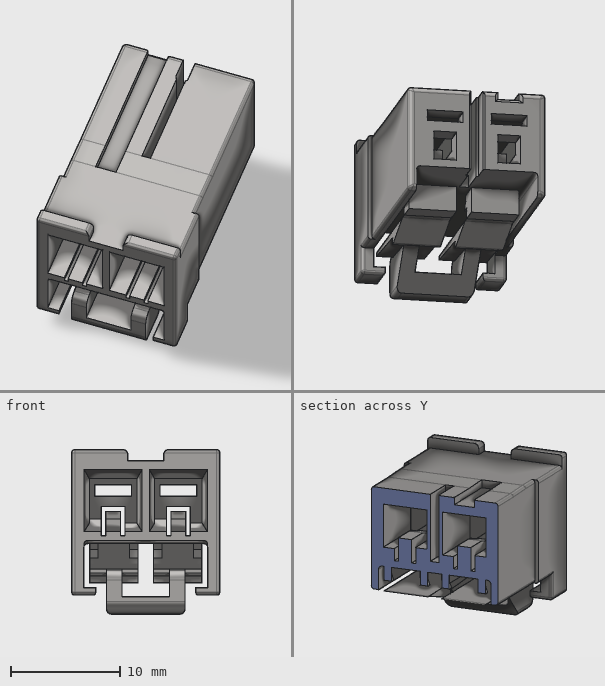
import cadquery as cq
import math

LENGTH = 23.0
HEIGHT = 15.09

HOOD_WIDTH = 13.6
HOOD_BOTTOM = 1.75
FLANGE_DEPTH = 1.22
SKIRT_DEPTH = 3.43
SHOULDER_DEPTH = 6.3
EDGE_RADIUS = 0.3
NOTCH_WIDTH = 3.27
NOTCH_RADIUS = 0.45

BODY_WIDTH = 12.83
BODY_BOTTOM = 4.19
BODY_TOP = 14.08
REAR_TOP = 14.0
TAPER_START = 8.35
TAPER_END = 11.0
REAR_RADIUS = 0.53

GROOVE_CENTER = -3.0
GROOVE_WIDTH = 1.98
GROOVE_DEPTH = 0.75
GROOVE_CHAMFER = 0.3
SLOT_WIDTH = 0.83
SLOT_FLOOR = 7.6
SLOT_THROUGH_START = 16.97
SLOT_MOUTH_WIDTH = 1.15
SLOT_MOUTH_START = 20.5
SLOT_MOUTH_TAPER = 0.23
SLOT_MOUTH_RADIUS = 0.15

CHAMBER_PITCH = 5.98
CHAMBER_WIDTH = 5.34
CHAMBER_FLOOR = 7.57
CHAMBER_TOP = 13.27
CHAMBER_DEPTH = 20.7
FUNNEL_LENGTH = 0.92
INNER_WIDTH = 4.35
INNER_FLOOR = 8.35
INNER_TOP = 12.42
RAISED_FLOOR = 8.72
BLADE_WIDTH = 3.35
BLADE_BOTTOM = 10.83
BLADE_TOP = 11.85

TONGUE_WIDTH = 1.38
TONGUE_STEP_TOP = 8.72
TONGUE_TOP = 9.43
TONGUE_STEP_START = 9.2
TONGUE_CREST_START = 11.95
TONGUE_END = 18.4
CLEARANCE_WIDTH = 2.15
CLEARANCE_BOTTOM = 7.2
CLEARANCE_TOP = 9.87

CHANNEL_WIDTH = 11.32
CHANNEL_TOP = 6.76
CHANNEL_END_TOP = 6.46
CHANNEL_RADIUS = 0.35
LIP_TOP = 2.44
LIP_GAP = 9.15
LIP_RADIUS = 0.25

ARM_WIDTH = 4.45
ARM_CENTER = 2.92
ARM_FRONT = 2.18
ARM_TOP = 4.15
ARM_FRONT_BOTTOM = 3.8
ARM_REAR_BOTTOM = 4.12
HOOK_FACE = 9.38
HOOK_BOTTOM = 2.88
HOOK_LAND = 0.44
HOOK_NECK = 3.5
HOOK_RAMP_END = 13.98
ROOT_FRONT = 14.72
ROOT_REAR = 16.97
ROOT_TOP = 6.9
GUSSET_WIDTH = 0.78
GUSSET_BOTTOM = 5.15
GUSSET_STEP = 5.93
GUSSET_DEPTH = 0.92
GUSSET_STEP_DEPTH = 0.45

HANDLE_WIDTH = 7.22
HANDLE_OPENING = 4.32
HANDLE_FLOOR = 1.6
HANDLE_FRONT = 0.7
HANDLE_TOP = 3.9
HANDLE_TOP_RADIUS = 0.92
HANDLE_NOSE_RADIUS = 1.15
HANDLE_HEEL = 3.63
HANDLE_BACK = 7.7
HANDLE_SIDE_RADIUS = 0.53


def block(x0, x1, y0, y1, z0, z1):
    """Box between opposite corners."""
    return cq.Workplane("XY").box(x1 - x0, y1 - y0, z1 - z0, centered=False).translate((x0, y0, z0))


def centered_block(width, y0, y1, z0, z1, center=0.0):
    """Box of a given width about a plane of constant X."""
    return block(center - width / 2, center + width / 2, y0, y1, z0, z1)


def prism(points, width, center=0.0):
    """Y-Z outline extruded along X about a plane of constant X."""
    outline = cq.Workplane("YZ").polyline(points).close()
    return outline.extrude(width / 2, both=True).translate((center, 0, 0))


def flared_opening(width, depth, inner_z, surface_z, radius):
    """Cutter for an opening along Y whose side walls round outwards into the surface at surface_z."""
    half = width / 2
    outward = math.copysign(1, surface_z - inner_z)
    arc_offset = radius * (1 - math.sqrt(0.5))
    start_z = surface_z - outward * radius
    arc_z = surface_z - outward * arc_offset
    arc_x = half + arc_offset
    outline = (
        cq.Workplane("XZ")
        .moveTo(-half, inner_z)
        .lineTo(half, inner_z)
        .lineTo(half, start_z)
        .threePointArc((arc_x, arc_z), (half + radius, surface_z))
        .lineTo(-half - radius, surface_z)
        .threePointArc((-arc_x, arc_z), (-half, start_z))
        .close()
    )
    return outline.extrude(-depth)


def make_hood():
    """Front flange, shoulder and skirt, with the notch between the two top tabs."""
    flange = centered_block(HOOD_WIDTH, 0, FLANGE_DEPTH, HOOD_BOTTOM, HEIGHT)
    flange = flange.edges("|Y or <Y").fillet(EDGE_RADIUS)
    flange = flange.cut(flared_opening(NOTCH_WIDTH, FLANGE_DEPTH, BODY_TOP, HEIGHT, NOTCH_RADIUS))

    overlap = FLANGE_DEPTH / 2
    shoulder = centered_block(HOOD_WIDTH, overlap, SHOULDER_DEPTH, BODY_BOTTOM, BODY_TOP)
    shoulder = shoulder.edges("|Y").fillet(EDGE_RADIUS)
    skirt = centered_block(HOOD_WIDTH, overlap, SKIRT_DEPTH, HOOD_BOTTOM, CHANNEL_TOP)
    skirt = skirt.edges("(|Y and <Z) or (>Y and |Z) or (>Y and <Z)").fillet(EDGE_RADIUS)
    return flange.union(shoulder).union(skirt)


def make_body():
    """Rear body with a slightly lowered top and rounded outer edges."""
    outline = [
        (SHOULDER_DEPTH / 2, BODY_BOTTOM),
        (LENGTH, BODY_BOTTOM),
        (LENGTH, REAR_TOP),
        (TAPER_END, REAR_TOP),
        (TAPER_START, BODY_TOP),
        (SHOULDER_DEPTH / 2, BODY_TOP),
    ]
    body = prism(outline, BODY_WIDTH)
    body = body.faces(">Y").edges().fillet(REAR_RADIUS)
    long_edges = "(<X or >X) and (not |Z) and (not >Y)"
    return body.edges(long_edges).fillet(EDGE_RADIUS)


def make_groove():
    """Cutter for the key groove in the top, chamfered where it leaves the rear."""
    floor = BODY_TOP - GROOVE_DEPTH
    groove = centered_block(GROOVE_WIDTH, TAPER_START, LENGTH, floor, HEIGHT, GROOVE_CENTER)
    flare_width = GROOVE_WIDTH + 2 * GROOVE_CHAMFER
    flare = (
        cq.Workplane("XZ", origin=(GROOVE_CENTER, LENGTH, (floor - GROOVE_CHAMFER + HEIGHT) / 2))
        .rect(flare_width, HEIGHT - floor + GROOVE_CHAMFER)
        .workplane(offset=GROOVE_CHAMFER)
        .center(0, GROOVE_CHAMFER / 2)
        .rect(GROOVE_WIDTH, HEIGHT - floor)
        .loft()
    )
    return groove.union(flare)


def make_slot():
    """Cutter for the slot between the halves, running right through near the rear."""
    half = SLOT_WIDTH / 2
    half_mouth = SLOT_MOUTH_WIDTH / 2
    mouth_outline = [
        (-half, SLOT_MOUTH_START),
        (half, SLOT_MOUTH_START),
        (half_mouth, SLOT_MOUTH_START + SLOT_MOUTH_TAPER),
        (half_mouth, LENGTH - SLOT_MOUTH_RADIUS),
        (half_mouth + SLOT_MOUTH_RADIUS, LENGTH),
        (-half_mouth - SLOT_MOUTH_RADIUS, LENGTH),
        (-half_mouth, LENGTH - SLOT_MOUTH_RADIUS),
        (-half_mouth, SLOT_MOUTH_START + SLOT_MOUTH_TAPER),
    ]
    shallow = centered_block(SLOT_WIDTH, TAPER_END, LENGTH, SLOT_FLOOR, HEIGHT)
    deep = centered_block(SLOT_WIDTH, SLOT_THROUGH_START, LENGTH, 0, HEIGHT)
    mouth = cq.Workplane("XY").polyline(mouth_outline).close().extrude(HEIGHT)
    return shallow.union(deep).union(mouth)


def make_chamber(center):
    """Cutter for one funnel-shaped chamber, its blade slot and the clearance around its tongue."""
    funnel_start = TAPER_START - FUNNEL_LENGTH
    middle = (CHAMBER_FLOOR + CHAMBER_TOP) / 2
    inner_middle = (INNER_FLOOR + INNER_TOP) / 2
    funnel = (
        cq.Workplane("XZ", origin=(center, funnel_start, middle))
        .rect(CHAMBER_WIDTH, CHAMBER_TOP - CHAMBER_FLOOR)
        .workplane(offset=-FUNNEL_LENGTH)
        .center(0, inner_middle - middle)
        .rect(INNER_WIDTH, INNER_TOP - INNER_FLOOR)
        .loft()
    )
    entry = centered_block(CHAMBER_WIDTH, 0, funnel_start, CHAMBER_FLOOR, CHAMBER_TOP, center)
    inner = centered_block(INNER_WIDTH, TAPER_START, CHAMBER_DEPTH, INNER_FLOOR, INNER_TOP, center)

    floor_slope = (INNER_FLOOR - CHAMBER_FLOOR) / FUNNEL_LENGTH
    raised_start = TAPER_START + (RAISED_FLOOR - INNER_FLOOR) / floor_slope
    raised_floor = prism(
        [
            (TAPER_START, INNER_FLOOR),
            (CHAMBER_DEPTH, INNER_FLOOR),
            (CHAMBER_DEPTH, RAISED_FLOOR),
            (raised_start, RAISED_FLOOR),
        ],
        INNER_WIDTH / 2,
        center - INNER_WIDTH / 4,
    )
    cavity = entry.union(funnel).union(inner).cut(raised_floor)
    blade_slot = centered_block(BLADE_WIDTH, CHAMBER_DEPTH, LENGTH, BLADE_BOTTOM, BLADE_TOP, center)
    clearance = centered_block(CLEARANCE_WIDTH, 0, LENGTH, CLEARANCE_BOTTOM, CLEARANCE_TOP, center)
    tongue = prism(
        [
            (0, CLEARANCE_BOTTOM),
            (TONGUE_END, CLEARANCE_BOTTOM),
            (TONGUE_END, TONGUE_TOP),
            (TONGUE_CREST_START, TONGUE_TOP),
            (TONGUE_STEP_START, TONGUE_STEP_TOP),
            (TONGUE_STEP_START, CHAMBER_FLOOR),
            (0, CHAMBER_FLOOR),
        ],
        TONGUE_WIDTH,
        center,
    )
    return cavity.union(blade_slot).union(clearance).cut(tongue)


def make_channel():
    """Cutter for the full-length channel that holds the latch, leaving the hood lips."""
    outline = [
        (0, 0),
        (0, CHANNEL_TOP),
        (ROOT_FRONT, CHANNEL_END_TOP),
        (LENGTH, CHANNEL_END_TOP),
        (LENGTH, 0),
    ]
    channel = prism(outline, CHANNEL_WIDTH)
    channel = channel.edges("(<X or >X) and (not |Z) and (not <Z)").fillet(CHANNEL_RADIUS)
    for side in (-1, 1):
        lip_width = (CHANNEL_WIDTH - LIP_GAP) / 2
        lip_center = side * (LIP_GAP + lip_width) / 2
        lip = centered_block(lip_width, 0, SKIRT_DEPTH, 0, LIP_TOP, lip_center)
        channel = channel.cut(lip)
    return channel.union(flared_opening(LIP_GAP, SKIRT_DEPTH, LIP_TOP, HOOD_BOTTOM, LIP_RADIUS))


def make_arm(center):
    """One latch arm with its hook, hanging from a root block with two gussets."""
    arm = prism(
        [
            (ARM_FRONT, ARM_TOP),
            (ARM_FRONT, ARM_FRONT_BOTTOM),
            (HOOK_FACE, HOOK_NECK),
            (HOOK_FACE, HOOK_BOTTOM),
            (HOOK_FACE + HOOK_LAND, HOOK_BOTTOM),
            (HOOK_RAMP_END, ARM_REAR_BOTTOM),
            (ROOT_REAR, ARM_REAR_BOTTOM),
            (ROOT_REAR, ROOT_TOP),
            (ROOT_FRONT, ROOT_TOP),
            (ROOT_FRONT, ARM_TOP),
        ],
        ARM_WIDTH,
        center,
    )
    gusset_outline = [
        (ROOT_FRONT, GUSSET_BOTTOM),
        (ROOT_FRONT - GUSSET_DEPTH, GUSSET_BOTTOM),
        (ROOT_FRONT - GUSSET_STEP_DEPTH, GUSSET_STEP),
        (ROOT_FRONT - GUSSET_STEP_DEPTH, ROOT_TOP),
        (ROOT_FRONT, ROOT_TOP),
    ]
    for side in (-1, 1):
        gusset_center = center + side * (ARM_WIDTH - GUSSET_WIDTH) / 2
        arm = arm.union(prism(gusset_outline, GUSSET_WIDTH, gusset_center))
    return arm


def make_handle():
    """U-shaped release handle that bridges the two arms."""
    handle = prism(
        [
            (HANDLE_FRONT, 0),
            (HANDLE_HEEL, 0),
            (HANDLE_BACK, ARM_TOP),
            (ARM_FRONT, ARM_TOP),
            (HANDLE_FRONT, HANDLE_TOP),
        ],
        HANDLE_WIDTH,
    )
    handle = handle.faces("<Y").edges(">Z").fillet(HANDLE_TOP_RADIUS)
    handle = handle.edges("|X and <Y and <Z").fillet(HANDLE_NOSE_RADIUS)
    side_outline = centered_block(HANDLE_WIDTH, 0, LENGTH, 0, HEIGHT)
    side_outline = side_outline.edges("|Y and <Z").fillet(HANDLE_SIDE_RADIUS)
    handle = handle.intersect(side_outline)
    return handle.cut(centered_block(HANDLE_OPENING, 0, LENGTH, HANDLE_FLOOR, HEIGHT))


result = make_hood().union(make_body())
result = result.cut(make_channel()).cut(make_groove()).cut(make_slot())
for side in (-1, 1):
    result = result.cut(make_chamber(side * CHAMBER_PITCH / 2))
    result = result.union(make_arm(side * ARM_CENTER))
result = result.union(make_handle())